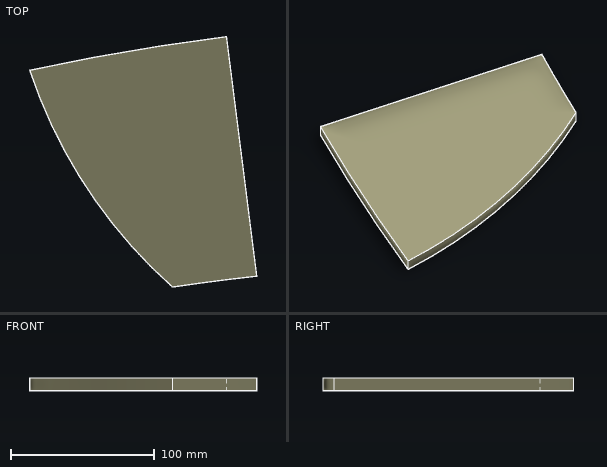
import cadquery as cq
import math

plate_width = 158.77
plate_length = 175.1
thickness = 9.0

straight_edge_lean = math.radians(7.2)
straight_edge_rise = 167.5

left_corner_drop = 23.5
lower_edge_run = 58.9

upper_edge_radius = 1590.0
left_edge_radius = 350.0
lower_edge_radius = 1500.0

right_corner = (0.0, 0.0)
upper_corner = (-straight_edge_rise * math.tan(straight_edge_lean), straight_edge_rise)
left_corner = (-plate_width, straight_edge_rise - left_corner_drop)
lowest_corner = (-lower_edge_run, straight_edge_rise - plate_length)


def make_plate():
    """Extrude a four-sided outline with one straight and three curved edges."""
    outline = (
        cq.Workplane("XY")
        .moveTo(*right_corner)
        .lineTo(*upper_corner)
        .radiusArc(left_corner, -upper_edge_radius)
        .radiusArc(lowest_corner, -left_edge_radius)
        .radiusArc(right_corner, lower_edge_radius)
        .close()
    )
    return outline.extrude(thickness)


result = make_plate()